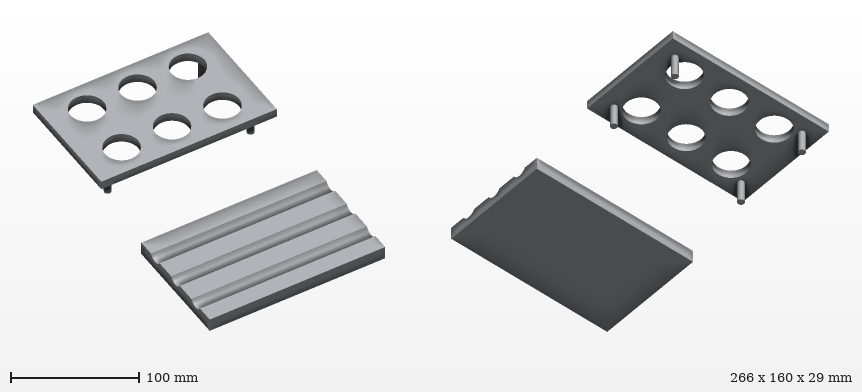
import cadquery as cq

plate_width = 103.0
plate_length = 160.0
overall_width = 266.0
overall_height = 29.0
plate_spacing = overall_width - plate_width

tray_thickness = 8.0
hole_diameter = 30.0
hole_columns = 2
hole_rows = 3
hole_pitch_x = 52.0
hole_pitch_y = 46.0

leg_diameter = 6.0
leg_inset = 15.0
leg_height = overall_height - tray_thickness

base_thickness = 12.0
groove_width = 12.8
groove_depth = 4.0
groove_pitch = 30.3
groove_count = 3


def make_tray():
    """Flat plate resting on the legs, with a grid of round through holes."""
    return (
        cq.Workplane("XY", origin=(0, 0, leg_height))
        .box(plate_width, plate_length, tray_thickness, centered=(True, True, False))
        .faces(">Z")
        .workplane()
        .rarray(hole_pitch_x, hole_pitch_y, hole_columns, hole_rows)
        .hole(hole_diameter)
    )


def make_leg(x, y):
    """Round leg from the floor up to the underside of the tray."""
    return cq.Workplane("XY", origin=(x, y, 0)).circle(leg_diameter / 2).extrude(leg_height)


def make_base():
    """Solid plate with shallow round-bottomed grooves along its whole length."""
    half_width = groove_width / 2
    groove_radius = (half_width**2 + groove_depth**2) / (2 * groove_depth)
    axis_height = base_thickness - groove_depth + groove_radius

    base = cq.Workplane("XY", origin=(plate_spacing, 0, 0)).box(
        plate_width, plate_length, base_thickness, centered=(True, True, False)
    )
    grooves = (
        cq.Workplane("XZ", origin=(plate_spacing, 0, axis_height))
        .rarray(groove_pitch, 2.7, groove_count, 1)
        .circle(groove_radius)
        .extrude(plate_length / 2, both=True)
    )
    return base.cut(grooves)


tray = make_tray()
base = make_base()

leg_x = plate_width / 2 - leg_inset
leg_y = plate_length / 2 - leg_inset
legs = []
for x in (-leg_x, leg_x):
    for y in (-leg_y, leg_y):
        legs.append(make_leg(x, y).val())

result = cq.Compound.makeCompound([tray.val(), *legs, base.val()])